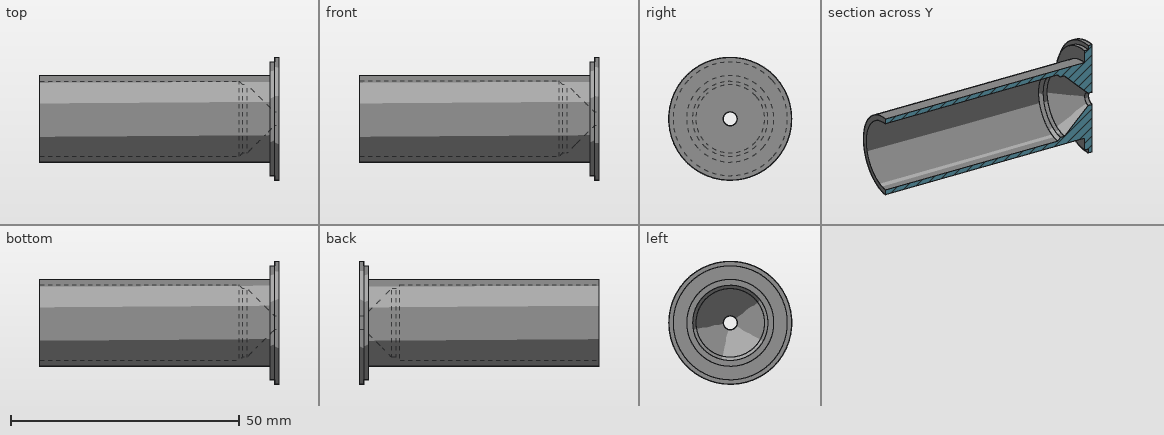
import cadquery as cq

total_length = 52.5
flange_thickness = 1.0
step_thickness = 1.0

flange_diameter = 27.0
step_diameter = 25.0
tube_diameter = 19.05
bore_diameter = 16.5
throat_diameter = 15.0
outlet_diameter = 3.0

throat_length = 1.0
outlet_length = flange_thickness
shoulder_depth = (bore_diameter - throat_diameter) / 2
funnel_depth = (throat_diameter - outlet_diameter) / 2

open_end = -total_length / 2
flange_end = total_length / 2
flange_start = flange_end - flange_thickness
step_start = flange_start - step_thickness
funnel_end = flange_end - outlet_length
funnel_start = funnel_end - funnel_depth
shoulder_end = funnel_start - throat_length
shoulder_start = shoulder_end - shoulder_depth


def cylinder(diameter, start, end):
    """Solid cylinder on the X axis between two X positions."""
    return cq.Workplane("YZ", origin=(start, 0, 0)).circle(diameter / 2).extrude(end - start)


def cavity():
    """Straight bore, conical shoulder, short throat, then a funnel to the outlet hole."""
    profile = [
        (open_end, 0),
        (open_end, bore_diameter / 2),
        (shoulder_start, bore_diameter / 2),
        (shoulder_end, throat_diameter / 2),
        (funnel_start, throat_diameter / 2),
        (funnel_end, outlet_diameter / 2),
        (flange_end, outlet_diameter / 2),
        (flange_end, 0),
    ]
    return cq.Workplane("XY").polyline(profile).close().revolve(360, (0, 0, 0), (1, 0, 0))


body = cylinder(tube_diameter, open_end, flange_end)
body = body.union(cylinder(step_diameter, step_start, flange_end))
body = body.union(cylinder(flange_diameter, flange_start, flange_end))

result = body.cut(cavity())